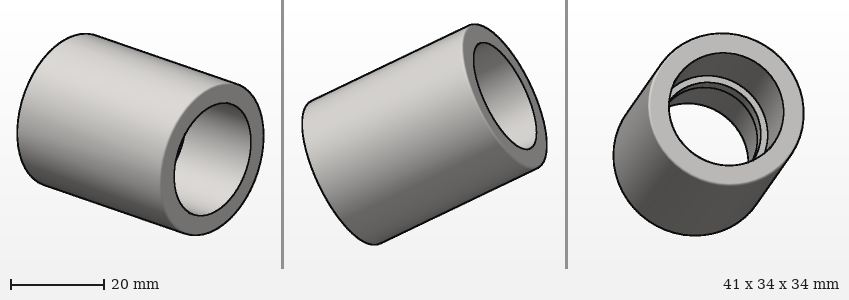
import cadquery as cq

length = 41.0
outer_diameter = 34.0
bore_diameter = 25.0
rib_diameter = 22.0
rib_length = 4.1
rim_radius = 0.5

bore_depth = (length - rib_length) / 2


def cylinder_along_x(diameter, start, cylinder_length):
    """Solid cylinder on the X axis, running in +X from start."""
    return (
        cq.Workplane("YZ")
        .workplane(offset=start)
        .circle(diameter / 2)
        .extrude(cylinder_length)
    )


body = cylinder_along_x(outer_diameter, -length / 2, length)
body = body.faces("<X or >X").edges().fillet(rim_radius)

result = body.cut(cylinder_along_x(rib_diameter, -length / 2, length))

for bore_start in (-length / 2, rib_length / 2):
    result = result.cut(cylinder_along_x(bore_diameter, bore_start, bore_depth))